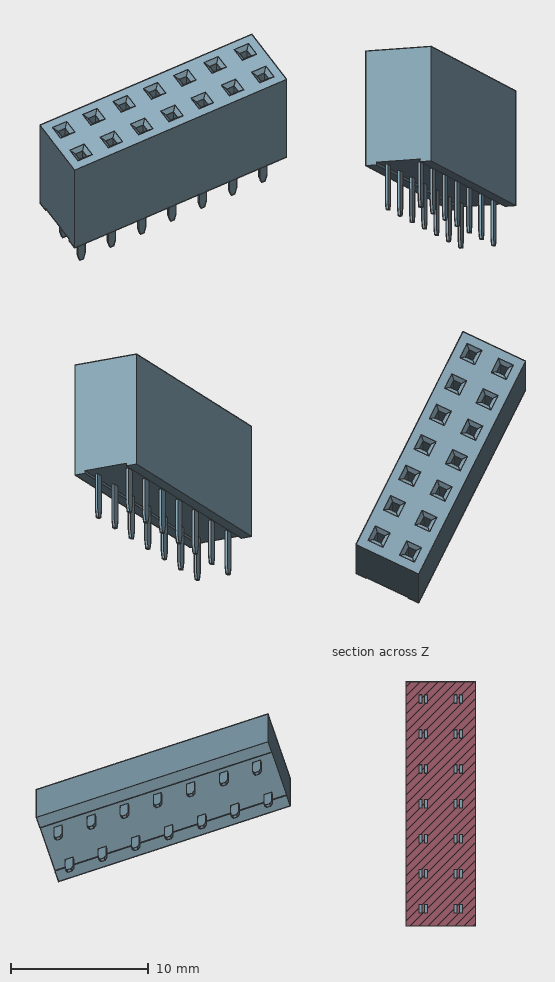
import cadquery as cq

pitch = 2.54
columns = 2
rows = 7

body_x = columns * pitch
body_y = rows * pitch
body_height = 8.5
channel_width = 3.4
channel_depth = 0.2

mouth_size = 1.2
well_size = 0.6
lead_in_depth = (mouth_size - well_size) / 2
well_floor_z = 4.0

pin_thickness = 0.2
pin_width = well_size
pin_length = 3.1
tip_width = 0.3
tip_length = 0.6

seat_width = 0.48
seat_depth = (pin_width - seat_width) / 2
blade_height = 1.0


def make_housing():
    """Rectangular block with a shallow channel along its underside."""
    block = cq.Workplane("XY").box(body_x, body_y, body_height, centered=(True, True, False))
    channel = cq.Workplane("XY").box(channel_width, body_y, channel_depth, centered=(True, True, False))
    return block.cut(channel)


def make_socket():
    """Cavity of one socket, centred on the Z axis."""
    lead_in = (
        cq.Workplane("XY")
        .workplane(offset=body_height)
        .rect(mouth_size, mouth_size)
        .workplane(offset=-lead_in_depth)
        .rect(well_size, well_size)
        .loft(ruled=True)
    )
    well = (
        cq.Workplane("XY")
        .workplane(offset=well_floor_z)
        .rect(well_size, well_size)
        .extrude(body_height - lead_in_depth - well_floor_z)
    )
    return lead_in.union(well)


def make_contact():
    """Flat contact: a pin with a tapered lower tip and a blade with a dished top in the well."""
    blade_top_z = well_floor_z + blade_height
    taper_top_z = tip_length - pin_length
    half_outline = [
        (0, -pin_length),
        (tip_width / 2, -pin_length),
        (pin_width / 2, taper_top_z),
        (pin_width / 2, blade_top_z),
        (seat_width / 2, blade_top_z - seat_depth),
        (0, blade_top_z - seat_depth),
    ]
    half = cq.Workplane("YZ").polyline(half_outline).close().extrude(pin_thickness / 2, both=True)
    return half.union(half.mirror("XZ"))


socket = make_socket()
contact = make_contact()
result = make_housing()
for column in range(columns):
    for row in range(rows):
        x = (column - (columns - 1) / 2) * pitch
        y = (row - (rows - 1) / 2) * pitch
        result = result.cut(socket.translate((x, y, 0)))
        result = result.union(contact.translate((x, y, 0)))